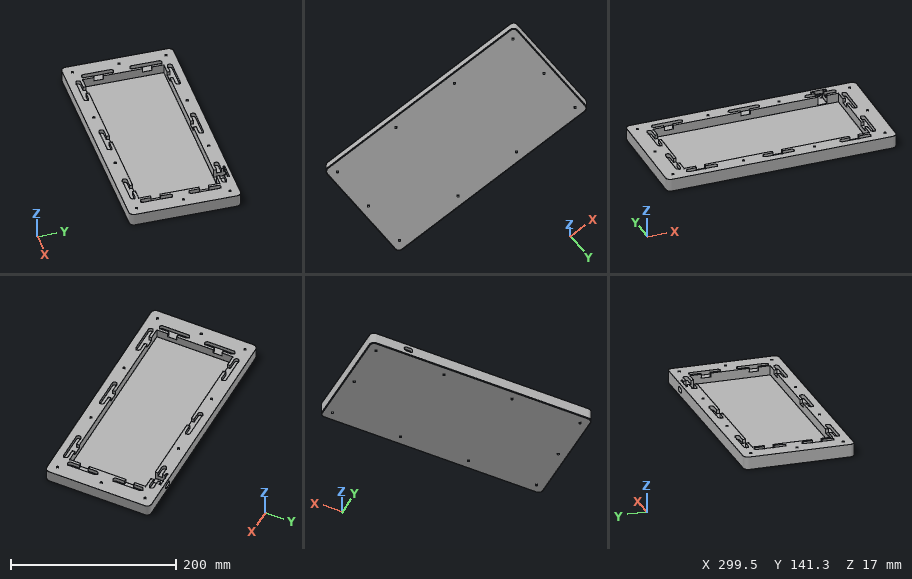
import cadquery as cq

length = 299.5
width = 141.3
height = 17.0
corner_radius = 6.3
bottom_chamfer = 1.0

pocket_length = 240.7
pocket_width = 102.5
pocket_depth = 12.0

hole_diameter = 2.5
hole_span_x = 276.0
hole_span_y = 118.0
long_side_holes = 4
short_side_holes = 3

slot_length = 40.0
slot_width = 6.0
slot_depth = 5.0
throat_width = 12.0
long_side_slot_pitch = 99.7
long_side_slot_offset = 57.8
short_side_slot_pitch = 61.0
short_side_slot_offset = 126.5

channel_width = throat_width
channel_depth = 11.0
crossbar_length = 20.0
crossbar_width = 1.95
crossbar_depth = slot_depth
channel_end_y = 66.2

window_width = 10.8
window_corner_radius = 2.7


def box_cut(size_x, size_y, depth, center_x, center_y):
    """Rectangular cutter reaching down from the top face."""
    cutter = cq.Workplane("XY").box(size_x, size_y, depth, centered=(True, True, False))
    return cutter.translate((center_x, center_y, height - depth))


def clip_slot(offset, wall):
    """Slot along X at Y = offset, with a throat running back to the pocket wall."""
    slot = (
        cq.Workplane("XY", origin=(0, offset, height - slot_depth))
        .slot2D(slot_length, slot_width)
        .extrude(slot_depth)
    )
    throat_length = offset - wall
    throat = box_cut(throat_width, throat_length, slot_depth, 0, wall + throat_length / 2)
    return slot.union(throat)


def make_body():
    body = cq.Workplane("XY").box(length, width, height, centered=(True, True, False))
    body = body.edges("|Z").fillet(corner_radius)
    body = body.faces("<Z").chamfer(bottom_chamfer)
    return body.cut(box_cut(pocket_length, pocket_width, pocket_depth, 0, 0))


def cut_clip_slots(body):
    long_side_slot = clip_slot(long_side_slot_offset, pocket_width / 2)
    short_side_slot = clip_slot(short_side_slot_offset, pocket_length / 2)
    for turn in (0, 180):
        for step in (-1, 0, 1):
            placed = long_side_slot.translate((step * long_side_slot_pitch, 0, 0))
            body = body.cut(placed.rotate((0, 0, 0), (0, 0, 1), turn))
        for side in (-1, 1):
            placed = short_side_slot.translate((side * short_side_slot_pitch / 2, 0, 0))
            body = body.cut(placed.rotate((0, 0, 0), (0, 0, 1), turn + 90))
    return body


def cut_cable_channel(body):
    wall = pocket_width / 2
    stem_length = channel_end_y - wall
    center_x = long_side_slot_pitch
    stem = box_cut(channel_width, stem_length, channel_depth, center_x, wall + stem_length / 2)
    crossbar_y = channel_end_y - crossbar_width / 2
    crossbar = box_cut(crossbar_length, crossbar_width, crossbar_depth, center_x, crossbar_y)
    return body.cut(stem).cut(crossbar)


def cut_cable_window(body):
    window_height = channel_depth - crossbar_depth
    window_z = height - (channel_depth + crossbar_depth) / 2
    window = (
        cq.Workplane("XZ", origin=(long_side_slot_pitch, width / 2, window_z))
        .rect(window_width, window_height)
        .extrude(width / 2 - channel_end_y)
        .edges("|Y")
        .fillet(window_corner_radius)
    )
    return body.cut(window)


def cut_screw_holes(body):
    pitch_x = hole_span_x / (long_side_holes - 1)
    pitch_y = hole_span_y / (short_side_holes - 1)
    long_sides = cq.Workplane("XY").rarray(pitch_x, hole_span_y, long_side_holes, 2)
    short_sides = cq.Workplane("XY").rarray(hole_span_x, pitch_y, 2, short_side_holes)
    for pattern in (long_sides, short_sides):
        body = body.cut(pattern.circle(hole_diameter / 2).extrude(height))
    return body


result = make_body()
result = cut_clip_slots(result)
result = cut_cable_channel(result)
result = cut_cable_window(result)
result = cut_screw_holes(result)